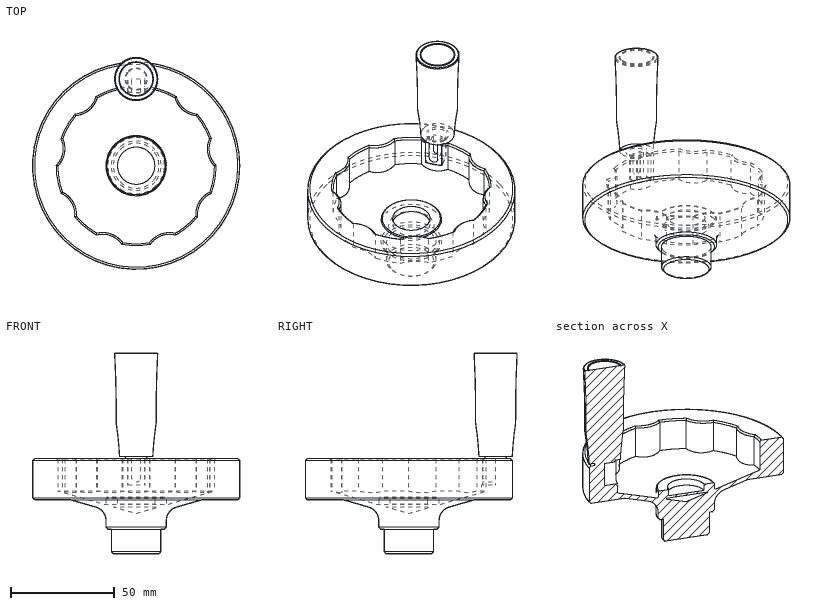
import cadquery as cq
import math

shaft_top = 11.9
rim_bottom = 26.0
rim_top = 46.0
hub_top = 27.3
handle_bottom = 47.0
handle_waist = 63.1
handle_top = 97.0

rim_radius = 50.0
edge_chamfer = 1.0
cone_radius = 31.6
cone_angle = math.radians(16)
neck_radius = 14.6
neck_fillet = 6.6
shaft_radius = 12.0

recess_radius = 37.7
recess_chamfer = 0.8
scallop_count = 9
scallop_radius = 12.0
scallop_center = 47.1
floor_edge_height = 30.3
floor_angle = cone_angle

hub_radius = 14.5
hub_chamfer = 0.5
hub_fillet = 0.5
hub_root = 1.0
select_margin = 0.1
bore_radius = 9.0
bore_depth = 3.3

handle_offset = 41.8
pocket_width = 8.4
pocket_bottom = 33.2
block_width = 8.0
block_front = 35.4
slot_width = 4.3
slot_bottom = 34.6

collar_bottom_radius = 5.0
collar_top_radius = 10.7 / 2
handle_bottom_radius = 8.1
handle_lower_mid_radius = 8.7
handle_waist_radius = 9.7
handle_upper_mid_radius = 9.8
handle_top_radius = 10.4
handle_chamfer = 0.4
groove_outer_radius = 16.7 / 2
groove_width = 0.3
groove_depth = 0.3


def floor_height(radius):
    """Height of the conical recess floor at a distance from the wheel axis."""
    return floor_edge_height + (radius - recess_radius) * math.tan(floor_angle)


def make_wheel_blank():
    """Rim, cone, neck and shaft as one turned body without the recess."""
    corner_height = rim_bottom - (cone_radius - neck_radius) * math.tan(cone_angle)
    turn = math.pi / 2 - cone_angle
    tangent_length = neck_fillet * math.tan(turn / 2)
    arc_bottom = corner_height - tangent_length
    arc_end = (
        neck_radius + tangent_length * math.cos(cone_angle),
        corner_height + tangent_length * math.sin(cone_angle),
    )
    arc_mid = (
        neck_radius + neck_fillet * (1 - math.cos(turn / 2)),
        arc_bottom + neck_fillet * math.sin(turn / 2),
    )
    return (
        cq.Workplane("XZ")
        .lineTo(shaft_radius - edge_chamfer, 0)
        .lineTo(shaft_radius, edge_chamfer)
        .lineTo(shaft_radius, shaft_top)
        .lineTo(neck_radius - edge_chamfer, shaft_top)
        .lineTo(neck_radius, shaft_top + edge_chamfer)
        .lineTo(neck_radius, arc_bottom)
        .threePointArc(arc_mid, arc_end)
        .lineTo(cone_radius, rim_bottom)
        .lineTo(rim_radius - edge_chamfer, rim_bottom)
        .lineTo(rim_radius, rim_bottom + edge_chamfer)
        .lineTo(rim_radius, rim_top - edge_chamfer)
        .lineTo(rim_radius - edge_chamfer, rim_top)
        .lineTo(0, rim_top)
        .close()
        .revolve(360, (0, 0, 0), (0, 1, 0))
    )


def make_recess():
    """Volume removed from the wheel: a scalloped bowl flared at its mouth."""
    bowl = (
        cq.Workplane("XZ")
        .moveTo(0, floor_height(0))
        .lineTo(recess_radius, floor_edge_height)
        .lineTo(recess_radius, rim_top - recess_chamfer)
        .lineTo(recess_radius + recess_chamfer, rim_top)
        .lineTo(0, rim_top)
        .close()
        .revolve(360, (0, 0, 0), (0, 1, 0))
    )
    scallops = (
        cq.Workplane("XY")
        .polarArray(scallop_center, 90, 360, scallop_count)
        .circle(scallop_radius)
        .extrude(rim_top)
        .faces(">Z")
        .chamfer(recess_chamfer)
    )
    return bowl.cut(scallops)


def make_hub():
    """Round boss with a chamfered top, rooted a little below the recess floor."""
    root_height = floor_height(hub_radius) - hub_root
    return (
        cq.Workplane("XY", origin=(0, 0, root_height))
        .circle(hub_radius)
        .extrude(hub_top - root_height)
        .faces(">Z")
        .chamfer(hub_chamfer)
    )


def box_up_to_rim(width, front, bottom):
    """Box from a front plane back to the handle axis, open at the rim top."""
    return cq.Workplane("XY").box(
        width, handle_offset - front, rim_top - bottom, centered=(True, False, False)
    ).translate((0, front, bottom))


def make_pivot_block():
    """Block filling the pocket between side gaps, with a round-bottomed slot."""
    slot_radius = slot_width / 2
    slot_axis = slot_bottom + slot_radius
    depth = handle_offset - block_front
    slot_end = (
        cq.Workplane("XZ", origin=(0, block_front, slot_axis))
        .circle(slot_radius)
        .extrude(-depth)
    )
    slot = box_up_to_rim(slot_width, block_front, slot_axis).union(slot_end)
    return box_up_to_rim(block_width, block_front, pocket_bottom).cut(slot)


def make_handle():
    """Turned grip on a short flared collar, with a ring groove in its end."""
    lower_mid = (handle_lower_mid_radius, (handle_bottom + handle_waist) / 2)
    upper_end = handle_top - handle_chamfer
    upper_mid = (handle_upper_mid_radius, (handle_waist + upper_end) / 2)
    grip = (
        cq.Workplane("XZ")
        .moveTo(0, rim_top)
        .lineTo(collar_bottom_radius, rim_top)
        .lineTo(collar_top_radius, handle_bottom)
        .lineTo(handle_bottom_radius, handle_bottom)
        .threePointArc(lower_mid, (handle_waist_radius, handle_waist))
        .threePointArc(upper_mid, (handle_top_radius, upper_end))
        .lineTo(handle_top_radius - handle_chamfer, handle_top)
        .lineTo(0, handle_top)
        .close()
        .revolve(360, (0, 0, 0), (0, 1, 0))
    )
    groove = (
        cq.Workplane("XY", origin=(0, 0, handle_top - groove_depth))
        .circle(groove_outer_radius)
        .circle(groove_outer_radius - groove_width)
        .extrude(groove_depth)
    )
    return grip.cut(groove).translate((0, handle_offset, 0))


wheel = make_wheel_blank().cut(make_recess()).union(make_hub())
hub_foot = floor_height(hub_radius)
foot_edge = cq.selectors.BoxSelector(
    (-select_margin, -select_margin, hub_foot - select_margin),
    (select_margin, select_margin, hub_foot + select_margin),
)
wheel = wheel.edges(foot_edge).fillet(hub_fillet)

bore = cq.Workplane("XY", origin=(0, 0, hub_top - bore_depth)).circle(bore_radius).extrude(bore_depth)
wheel = wheel.cut(bore)

pocket_front = scallop_center - scallop_radius
pocket = box_up_to_rim(pocket_width, pocket_front, pocket_bottom)
wheel = wheel.cut(pocket).union(make_pivot_block())

result = wheel.union(make_handle())